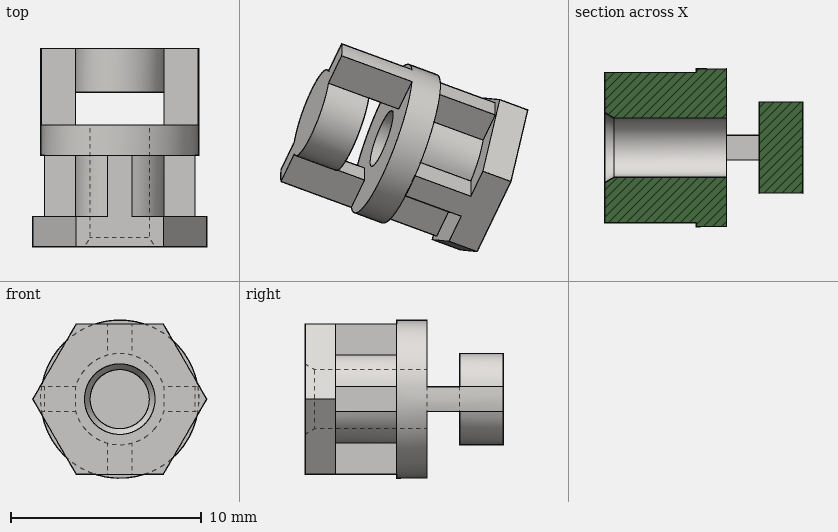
import cadquery as cq
import math

head_length = 1.6
neck_length = 3.2
flange_length = 1.6
arm_length = 4.0
hub_length = 2.3

head_across_flats = 7.9
flange_diameter = 8.3
core_diameter = 4.8
rib_thickness = 1.3
rib_span = head_across_flats

bore_diameter = 3.1
mouth_diameter = 3.7
mouth_depth = 0.5

neck_start = head_length
flange_start = neck_start + neck_length
arm_start = flange_start + flange_length
part_end = arm_start + arm_length
hub_start = part_end - hub_length
bore_depth = arm_start

arm_inner_x = math.sqrt((core_diameter / 2) ** 2 - (rib_thickness / 2) ** 2)


def section_plane(y):
    """Plane across the part axis at station y, extruding toward +Y."""
    return cq.Workplane(cq.Plane(origin=(0, y, 0), xDir=(1, 0, 0), normal=(0, 1, 0)))


def cylinder(y, diameter, length):
    return section_plane(y).circle(diameter / 2).extrude(length)


def make_head():
    """Hexagon with two corners on the X axis."""
    across_corners = head_across_flats / math.cos(math.radians(30))
    return section_plane(0).polygon(6, across_corners).extrude(head_length)


def make_neck():
    """Round core with four ribs forming a cross."""
    core = cylinder(neck_start, core_diameter, neck_length)
    flat_ribs = section_plane(neck_start).rect(rib_span, rib_thickness).extrude(neck_length)
    upright_ribs = section_plane(neck_start).rect(rib_thickness, rib_span).extrude(neck_length)
    return core.union(flat_ribs).union(upright_ribs)


def make_arms():
    """Two side arms that follow the flange rim and carry the end hub."""
    bar = section_plane(arm_start).rect(flange_diameter, rib_thickness).extrude(arm_length)
    window = section_plane(arm_start).rect(2 * arm_inner_x, rib_thickness).extrude(arm_length - hub_length)
    rim = cylinder(arm_start, flange_diameter, arm_length)
    return bar.cut(window).intersect(rim)


def make_bore():
    """Cutter for the bore and its tapered mouth."""
    bore = cylinder(0, bore_diameter, bore_depth)
    mouth = (
        section_plane(0)
        .circle(mouth_diameter / 2)
        .workplane(offset=mouth_depth)
        .circle(bore_diameter / 2)
        .loft()
    )
    return bore.union(mouth)


flange = cylinder(flange_start, flange_diameter, flange_length)
hub = cylinder(hub_start, core_diameter, hub_length)

body = make_head().union(make_neck()).union(flange).union(make_arms()).union(hub)
result = body.cut(make_bore())